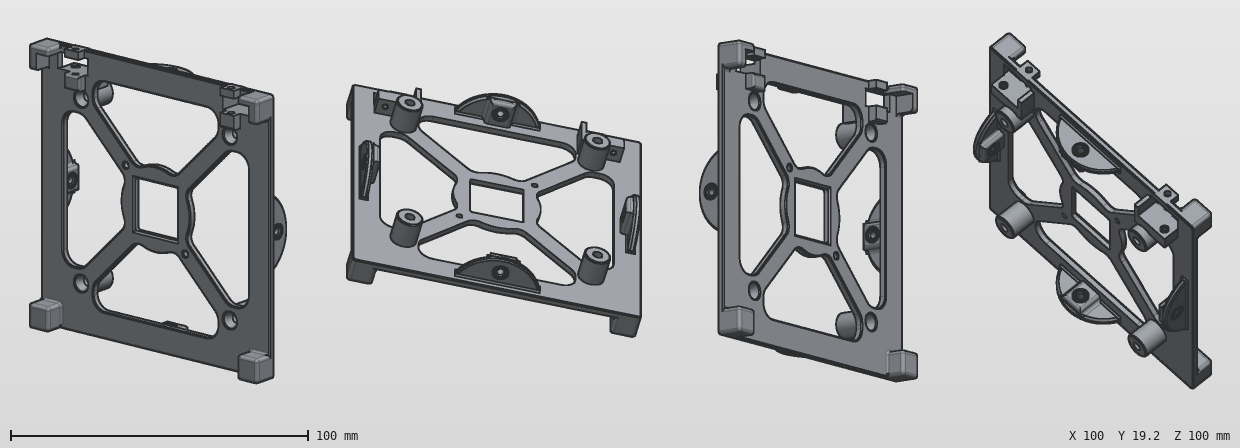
import cadquery as cq
import math


side = 100.0
half = side / 2
plate_thickness = 2.4
edge_chamfer = 0.4

border = 9.5
spoke_half_width = 3.4
hub_radius = 15.2
window_half_length = 27.2
window_corner_radius = 5.0
hub_corner_radius = 4.0
center_opening = 18.6
center_opening_radius = 0.8
center_opening_chamfer = 0.7
locating_hole = 2.0
locating_hole_chamfer = 0.4
locating_offset = 13.0

standoff_inset = 17.5
standoff_diameter = 9.0
standoff_height = 9.4
standoff_edge = 0.4
screw_hole = 3.2
screw_head = 6.5
screw_rim_chamfer = 0.4
screw_cone_depth = 3.0

foot_size = 8.8
foot_height = 9.2
foot_radius = 1.2
foot_top_wall = 2.7
foot_side_wall = 3.5
foot_base_fillet = 0.8

slot_left_inset = 7.3
slot_right_inset = 20.5
slot_top_inset = 2.8
slot_bottom_inset = 8.8
holder_left_inset = 7.5
holder_right_inset = 22.2
holder_top_inset = 3.8
holder_bottom_inset = 14.0
holder_height = 6.0
tab_left_inset = 13.0
tab_width = 6.0
tab_reach = 3.2
tab_edge = 0.6
rounded_tab_edge = 0.8
rounded_tab_margin = 0.4
pin_hole = 2.2
pin_hole_reach = 1.0
pin_hole_depth = 3.0

lug_height = 10.0
lug_radius = 15.8
lug_inset = 2.6
lug_thickness = 2.4
lug_outer_chamfer = 0.5
lug_inner_chamfer = 0.8
lug_flare = 0.4
lug_flare_height = 0.8
boss_width = 9.0
boss_radius = 1.2
boss_length = 2 * boss_radius
boss_height = 9.2
lug_hole_height = 4.8

large_insert_diameter = 4.8
large_insert_bore = 2.5
large_insert_chamfer = 0.5
large_insert_outer_chamfer = 0.3
large_mouth_chamfer = 0.4
small_insert_diameter = 2.0
small_insert_bore = 1.3
small_insert_chamfer = 0.2
small_insert_outer_chamfer = 0.1
small_mouth_chamfer = 0.5
small_insert_inset = 10.5
small_insert_height = 3.2

lug_depth = lug_thickness + boss_length
lug_inner_inset = lug_inset + lug_depth
holder_hole_depth = holder_bottom_inset - slot_bottom_inset


def box(x_range, y_range, z_range):
    """Axis-aligned box between the given pairs of limits."""
    lows = (x_range[0], y_range[0], z_range[0])
    highs = (x_range[1], y_range[1], z_range[1])
    sizes = [high - low for low, high in zip(lows, highs)]
    return cq.Workplane("XY").box(*sizes, centered=False).translate(lows)


def corner_box(x_insets, y_range, z_insets):
    """Box placed by its insets from the left and top edges of the plate."""
    x_range = (x_insets[0] - half, x_insets[1] - half)
    z_range = (half - z_insets[1], half - z_insets[0])
    return box(x_range, y_range, z_range)


def both_sides(body):
    """The left-hand body joined with its mirror image on the right."""
    return body.union(body.mirror("YZ"))


def turned(body, quarter):
    """The body turned about the plate's centre by a number of quarter turns."""
    return body.rotate((0, 0, 0), (0, 1, 0), 90 * quarter)


def make_window():
    """Upper window: between two spokes, cut back around the hub and rounded."""
    top = half - border
    spoke_offset = spoke_half_width * math.sqrt(2)
    shoulder = window_half_length + spoke_offset
    outline = [
        (0, spoke_offset),
        (window_half_length, shoulder),
        (window_half_length, top),
        (-window_half_length, top),
        (-window_half_length, shoulder),
    ]
    window = cq.Workplane("XZ").polyline(outline).close().extrude(plate_thickness)
    window = window.cut(cq.Workplane("XZ").circle(hub_radius).extrude(plate_thickness))
    near_border = cq.selectors.BoxSelector((-half, -half, half / 2), (half, half, half))
    window = window.edges("|Y").edges(near_border).fillet(window_corner_radius)
    near_hub = cq.selectors.BoxSelector((-half, -half, 0), (half, half, hub_radius))
    return window.edges("|Y").edges(near_hub).fillet(hub_corner_radius)


def make_center_opening():
    """Square opening through the hub, flaring toward the front face."""
    flare = center_opening + 2 * center_opening_chamfer
    opening = cq.Workplane("XZ").rect(center_opening, center_opening).extrude(plate_thickness)
    opening = opening.edges("|Y").fillet(center_opening_radius)
    mouth = cq.Workplane("XZ", origin=(0, -plate_thickness, 0)).rect(flare, flare)
    mouth = mouth.extrude(-center_opening_chamfer, taper=45)
    return opening.union(mouth)


def tapered_hole(start, direction, diameter, depth, mouth_diameter):
    """Cutter for a hole with a 45 degree countersink where it starts."""
    mouth_depth = (mouth_diameter - diameter) / 2
    start = cq.Vector(*start)
    direction = cq.Vector(*direction)
    drill = cq.Solid.makeCylinder(diameter / 2, depth, start, direction)
    mouth = cq.Solid.makeCone(mouth_diameter / 2, diameter / 2, mouth_depth, start, direction)
    return cq.Workplane(drill).union(cq.Workplane(mouth))


def make_plate():
    """Square plate with four windows, a central opening and two locating holes."""
    plate = cq.Workplane("XZ").rect(side, side).extrude(plate_thickness)
    plate = plate.edges("|Y").fillet(foot_radius)
    plate = plate.faces(">Y").edges().chamfer(edge_chamfer)
    window = make_window()
    for quarter in range(4):
        plate = plate.cut(turned(window, quarter))
    plate = plate.faces("<Y").edges().chamfer(edge_chamfer)
    plate = plate.cut(make_center_opening())
    for sign in (-1, 1):
        start = (sign * locating_offset, -plate_thickness, -sign * locating_offset)
        mouth = locating_hole + 2 * locating_hole_chamfer
        plate = plate.cut(tapered_hole(start, (0, 1, 0), locating_hole, plate_thickness, mouth))
    return plate


def standoff_centers():
    offset = half - standoff_inset
    return [(x, z) for x in (-offset, offset) for z in (-offset, offset)]


def make_standoffs():
    standoffs = cq.Workplane("XZ").pushPoints(standoff_centers())
    standoffs = standoffs.circle(standoff_diameter / 2).extrude(-standoff_height)
    return standoffs.faces(">Y").edges().chamfer(standoff_edge)


def make_screw_hole():
    """Hole through plate and standoff: a chamfered rim, a cone, then a straight bore."""
    front = -plate_thickness
    throat = screw_head / 2 - screw_rim_chamfer
    cone_start = front + screw_rim_chamfer
    outline = [
        (0, front),
        (screw_head / 2, front),
        (throat, cone_start),
        (screw_hole / 2, cone_start + screw_cone_depth),
        (screw_hole / 2, standoff_height),
        (0, standoff_height),
    ]
    return cq.Workplane("XY").polyline(outline).close().revolve(360, (0, 0), (0, 1))


def foot_blend_profile():
    """Concave fillet section, placed beyond the foot's inner corner radius."""
    return (
        cq.Workplane("XY")
        .moveTo(foot_radius, -plate_thickness)
        .lineTo(foot_radius, -plate_thickness - foot_base_fillet)
        .radiusArc((foot_radius + foot_base_fillet, -plate_thickness), foot_base_fillet)
        .close()
    )


def make_foot_blend():
    """Concave fillet where the inner sides of a foot meet the front of the plate."""
    inner_corner = foot_size - foot_radius
    length = inner_corner - edge_chamfer
    right_strip = foot_blend_profile().extrude(length)
    lower_strip = foot_blend_profile().extrude(-length).rotate((0, 0, 0), (0, 1, 0), 90)
    bend = foot_blend_profile().revolve(90, (0, 0), (0, 1))
    blend = right_strip.union(bend).union(lower_strip)
    return blend.translate((inner_corner - half, 0, half - inner_corner))


def make_foot():
    """Rounded block in the upper left corner, reaching forward from the plate."""
    foot = corner_box((0, foot_size), (-foot_height, 0), (0, foot_size))
    foot = foot.edges("|Y or <Y").fillet(foot_radius)
    foot = foot.faces(">Y").edges().chamfer(edge_chamfer)
    return foot.union(make_foot_blend())


def make_hooked_foot():
    """Foot hollowed out to a top wall and an outer side wall."""
    reach = foot_size + foot_base_fillet
    pocket = corner_box(
        (foot_side_wall, reach),
        (-foot_height, -plate_thickness),
        (foot_top_wall, reach),
    )
    return make_foot().cut(pocket)


def make_holder():
    """Block behind the slot with a threaded insert seat in its lower part."""
    return corner_box(
        (holder_left_inset, holder_right_inset),
        (0, holder_height),
        (holder_top_inset, holder_bottom_inset),
    )


def make_slot():
    return corner_box(
        (slot_left_inset, slot_right_inset),
        (-plate_thickness, holder_height),
        (slot_top_inset, slot_bottom_inset),
    )


def make_upper_tab():
    x_insets = (tab_left_inset, tab_left_inset + tab_width)
    return corner_box(x_insets, (-plate_thickness - tab_reach, 0), (0, slot_top_inset))


def make_plain_lower_tab():
    """Lower tab as it is on the right, before it is mirrored across."""
    x_insets = (tab_left_inset, tab_left_inset + tab_width)
    y_range = (-plate_thickness - tab_reach, 0)
    tab = corner_box(x_insets, y_range, (slot_bottom_inset, holder_bottom_inset))
    return tab.faces("<Y").edges("<Z").chamfer(tab_edge)


def make_rounded_lower_tab():
    """Wider lower tab with rounded front edges, used on the left."""
    left = tab_left_inset - rounded_tab_margin
    x_insets = (left, left + tab_width + 2 * rounded_tab_margin)
    y_range = (-plate_thickness - tab_reach, 0)
    tab = corner_box(x_insets, y_range, (slot_bottom_inset, holder_bottom_inset))
    return tab.faces("<Y").edges().fillet(rounded_tab_edge)


def make_pin_hole():
    """Hole through the upper tab that ends inside the lower tab."""
    start = cq.Vector(
        tab_left_inset + tab_width / 2 - half,
        -plate_thickness - pin_hole_reach,
        half,
    )
    depth = slot_bottom_inset + pin_hole_depth
    return cq.Workplane(cq.Solid.makeCylinder(pin_hole / 2, depth, start, cq.Vector(0, 0, -1)))


def small_seat_start():
    return (small_insert_inset - half, small_insert_height, half - slot_bottom_inset)


def make_small_seat():
    mouth = small_insert_diameter + 2 * small_mouth_chamfer
    return tapered_hole(small_seat_start(), (0, 0, -1), small_insert_diameter, holder_hole_depth, mouth)


def make_lug_wall():
    """Arched wall standing on the back of the plate, with a flared outer base."""
    outer = half - lug_inset
    center_depth = lug_radius - lug_height
    wall = cq.Workplane("XY", origin=(0, 0, outer)).center(0, -center_depth)
    wall = wall.circle(lug_radius).extrude(-lug_thickness)
    wall = wall.faces(">Z").edges().chamfer(lug_outer_chamfer)
    wall = wall.faces("<Z").edges().chamfer(lug_inner_chamfer)
    wall = wall.intersect(box((-half, half), (0, lug_height), (0, half)))
    base_half_width = math.sqrt(lug_radius**2 - center_depth**2)
    flare = cq.Workplane("YZ", origin=(-base_half_width, 0, 0))
    flare = flare.polyline(
        [
            (0, outer + lug_flare),
            (lug_flare_height, outer),
            (lug_flare_height, outer - lug_thickness),
            (0, outer - lug_thickness - lug_flare),
        ]
    )
    return wall.union(flare.close().extrude(2 * base_half_width))


def make_boss():
    """Boss that blends out of the lug wall and rounds over at its inner face."""
    root = half - lug_inset - lug_thickness
    middle = root - boss_radius
    tip = root - boss_length
    edge = boss_width / 2
    profile = (
        cq.Workplane("XZ")
        .moveTo(-edge - boss_radius, root)
        .radiusArc((-edge, middle), boss_radius)
        .radiusArc((-edge + boss_radius, tip), -boss_radius)
        .lineTo(edge - boss_radius, tip)
        .radiusArc((edge, middle), -boss_radius)
        .radiusArc((edge + boss_radius, root), boss_radius)
        .close()
        .extrude(-boss_height)
    )
    rounding = box((-half, half), (0, boss_height), (tip, half))
    return profile.intersect(rounding.edges(">Y and <Z").fillet(boss_radius))


def lug_seat_start():
    return (0, lug_hole_height, half - lug_inset)


def make_lug_seat():
    """Hole through the lug, countersunk at both ends."""
    mouth = large_insert_diameter + 2 * large_mouth_chamfer
    inner_end = (0, lug_hole_height, half - lug_inner_inset)
    seat = tapered_hole(lug_seat_start(), (0, 0, -1), large_insert_diameter, lug_depth, mouth)
    return seat.union(tapered_hole(inner_end, (0, 0, 1), large_insert_diameter, lug_depth, mouth))


def make_frame():
    """The plate and everything moulded onto it."""
    left_side = make_hooked_foot().union(make_foot().mirror("XY"))
    left_side = left_side.union(make_holder()).union(make_upper_tab())
    frame = make_plate().union(both_sides(left_side)).union(make_standoffs())
    frame = frame.union(make_rounded_lower_tab()).union(make_plain_lower_tab().mirror("YZ"))
    frame = frame.cut(both_sides(make_slot().union(make_pin_hole()).union(make_small_seat())))
    screw_hole_cutter = make_screw_hole()
    for x, z in standoff_centers():
        frame = frame.cut(screw_hole_cutter.translate((x, 0, z)))
    lug = make_lug_wall().union(make_boss())
    seat = make_lug_seat()
    for quarter in range(4):
        frame = frame.union(turned(lug, quarter)).cut(turned(seat, quarter))
    return frame


def make_insert(start, diameter, bore, length, bore_chamfer, outer_chamfer):
    """Threaded insert as a chamfered sleeve running down from its start point."""
    sleeve = cq.Workplane("XY", origin=start).circle(diameter / 2).extrude(-length)
    sleeve = sleeve.faces("<Z or >Z").edges().chamfer(outer_chamfer)
    mouth = bore + 2 * bore_chamfer
    end = (start[0], start[1], start[2] - length)
    sleeve = sleeve.cut(tapered_hole(start, (0, 0, -1), bore, length, mouth))
    return sleeve.cut(tapered_hole(end, (0, 0, 1), bore, length, mouth))


def make_large_insert():
    return make_insert(
        lug_seat_start(),
        large_insert_diameter,
        large_insert_bore,
        lug_depth,
        large_insert_chamfer,
        large_insert_outer_chamfer,
    )


def make_small_insert():
    return make_insert(
        small_seat_start(),
        small_insert_diameter,
        small_insert_bore,
        holder_hole_depth,
        small_insert_chamfer,
        small_insert_outer_chamfer,
    )


frame = make_frame()
large_inserts = [turned(make_large_insert(), quarter).val() for quarter in range(4)]
small_inserts = [make_small_insert().val(), make_small_insert().mirror("YZ").val()]
result = cq.Compound.makeCompound([frame.val(), *large_inserts, *small_inserts])